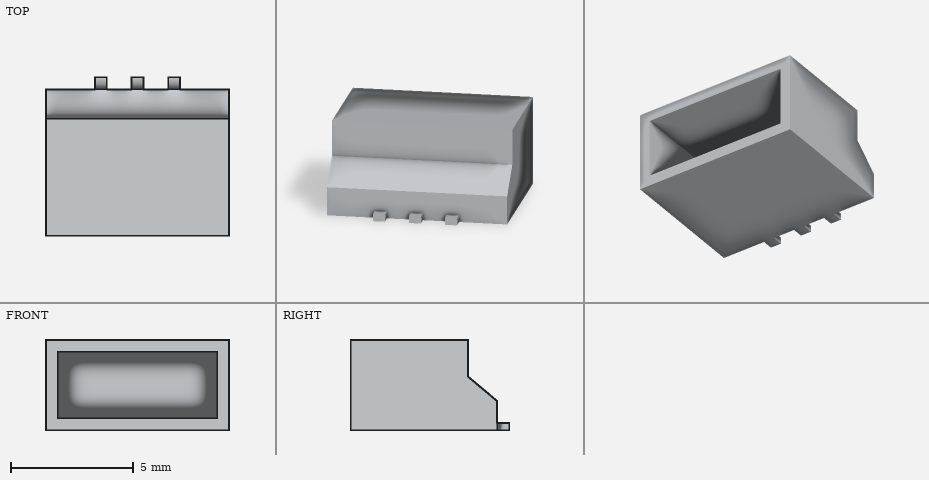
import cadquery as cq
import math

housing_width = 7.5
housing_depth = 6.0
housing_height = 3.7
wall = 0.487

rear_height = 1.2
slope_top_height = 2.2
slope_angle = 40.0
slope_depth = (slope_top_height - rear_height) / math.tan(math.radians(slope_angle))
roof_depth = housing_depth - slope_depth

cavity_depth = roof_depth - wall

pin_count = 3
pin_pitch = 1.5
pin_width = 0.5
pin_height = 0.3
pin_length = 0.5


def make_housing():
    """Stepped side profile extruded across the width, with an open mouth at the front."""
    body = (
        cq.Workplane("YZ")
        .polyline([
            (0, 0),
            (housing_depth, 0),
            (housing_depth, rear_height),
            (roof_depth, slope_top_height),
            (roof_depth, housing_height),
            (0, housing_height),
        ])
        .close()
        .extrude(housing_width / 2, both=True)
    )
    cavity = (
        cq.Workplane("XY")
        .box(
            housing_width - 2 * wall,
            cavity_depth,
            housing_height - 2 * wall,
            centered=(True, False, False),
        )
        .translate((0, 0, wall))
    )
    return body.cut(cavity)


def make_pin(x):
    """Rectangular pin centred at x, starting at the rear face of the housing."""
    return (
        cq.Workplane("XY")
        .box(pin_width, pin_length, pin_height, centered=(True, False, False))
        .translate((x, housing_depth, 0))
    )


housing = make_housing()

first_pin_x = -pin_pitch * (pin_count - 1) / 2
pins = [make_pin(first_pin_x + i * pin_pitch) for i in range(pin_count)]

result = cq.Compound.makeCompound([housing.val(), *[pin.val() for pin in pins]])